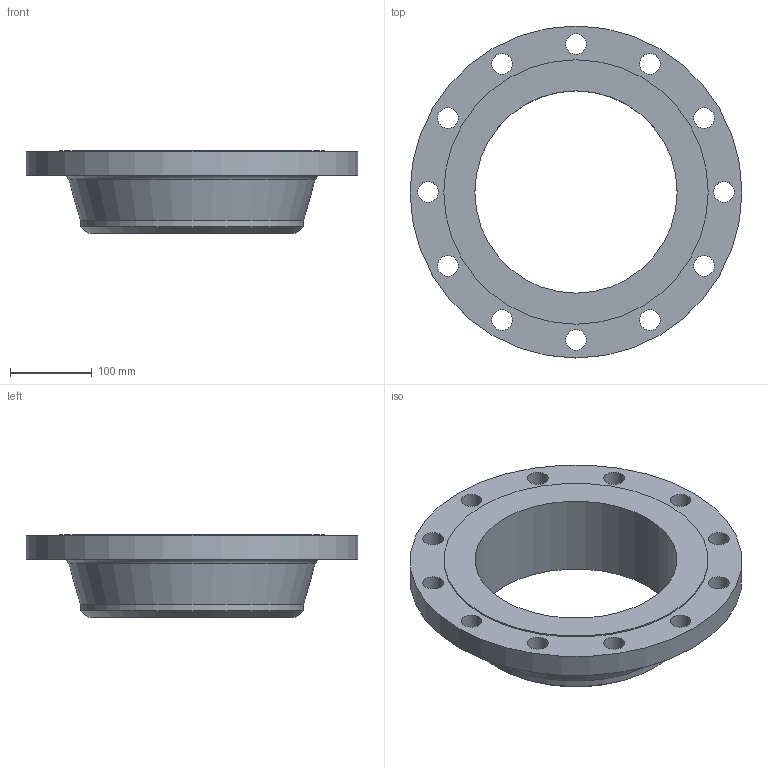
import cadquery as cq
import math

flange_diameter = 406.4
total_height = 101.6
bore_diameter = 247.65

face_diameter = 323.8
face_height = 1.6

flange_thickness = 30.2

bolt_count = 12
bolt_hole_diameter = 25.4
bolt_circle_diameter = 362.0

hub_base_diameter = 304.8
hub_fillet_radius = 8.0
pipe_diameter = 273.05
weld_end_height = 16.0
bevel_angle = 37.5
bevel_height = 8.0

flange_top = total_height - face_height
flange_bottom = total_height - flange_thickness
bevel_width = bevel_height / math.tan(math.radians(bevel_angle))


def make_body():
    """Revolve the flange, hub and bevelled weld end with the bore left open."""
    bore_radius = bore_diameter / 2
    pipe_radius = pipe_diameter / 2
    profile = (
        cq.Workplane("XZ")
        .moveTo(bore_radius, 0)
        .lineTo(pipe_radius - bevel_width, 0)
        .lineTo(pipe_radius, bevel_height)
        .lineTo(pipe_radius, weld_end_height)
        .lineTo(hub_base_diameter / 2, flange_bottom)
        .lineTo(flange_diameter / 2, flange_bottom)
        .lineTo(flange_diameter / 2, flange_top)
        .lineTo(face_diameter / 2, flange_top)
        .lineTo(face_diameter / 2, total_height)
        .lineTo(bore_radius, total_height)
        .close()
    )
    return profile.revolve(360, (0, 0, 0), (0, 1, 0))


def fillet_hub(body):
    """Round the inside corner where the hub meets the underside of the flange."""
    margin = 1.0
    reach = hub_base_diameter / 2 + margin
    corner_box = cq.selectors.BoxSelector(
        (-reach, -reach, flange_bottom - margin),
        (reach, reach, flange_bottom + margin),
        boundingbox=True,
    )
    return body.edges(corner_box).fillet(hub_fillet_radius)


def drill_bolt_holes(body):
    """Drill the ring of bolt holes through the flange plate."""
    holes = (
        cq.Workplane("XY")
        .workplane(offset=flange_bottom)
        .polarArray(bolt_circle_diameter / 2, 0, 360, bolt_count)
        .circle(bolt_hole_diameter / 2)
        .extrude(flange_thickness)
    )
    return body.cut(holes)


result = drill_bolt_holes(fillet_hub(make_body()))